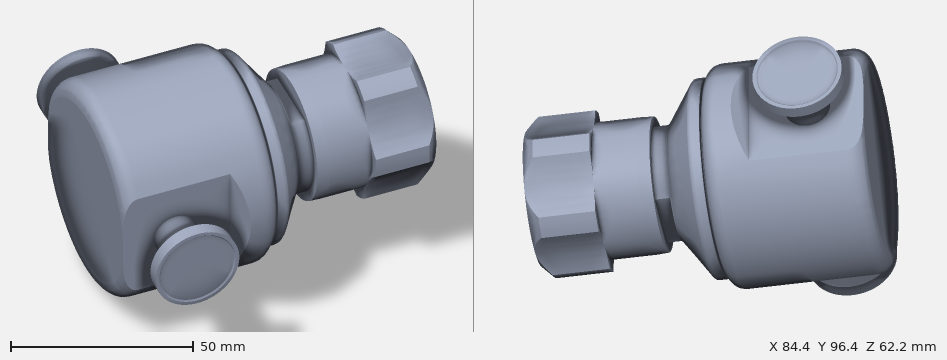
import cadquery as cq
import math


body_radius = 31.1
body_length = 45.1
body_fillet = 4.5
flat_distance = 26.5
flat_end = 31.9
flat_runout = 4.2

groove_radius = 25.3
groove_width = 0.5

cap_radius = 27.9
cap_start = body_length + groove_width
cap_rim = 3.1
cone_slope = math.radians(35)
cap_fillet = 1.35
neck_radius = 16.0
neck_flat_distance = 12.7
neck_flat_start = 57.0

collar_radius = 19.0
collar_start = 61.1
collar_taper_length = 3.6
collar_taper_depth = 0.2
nut_start = 77.1
nut_end = 96.4
nut_radius = 22.3
nut_chamfer = 3.4
nut_sides = 6
scallop_depth_radius = 18.9
scallop_edge_distance = 20.6

port_y = 15.6
port_reach = 42.2
port_tube_radius = 6.4
port_flange_radius = 12.4
port_rim = 3.8
port_cone_inner = 36.2
port_fillet = 1.2
recess_radius = 11.4
recess_floor_radius = 11.0
recess_depth = 0.4


def disc(radius, start, end):
    """Cylinder on the main axis between two Y positions."""
    return cq.Workplane("XZ", origin=(0, start, 0)).circle(radius).extrude(start - end)


def revolve_about_y(points):
    """Solid of revolution about the main axis from (radius, y) points."""
    return cq.Workplane("XY").polyline(points).close().revolve(360, (0, 0), (0, 1))


def mirrored(solid, plane):
    """The solid together with its mirror image."""
    return solid.union(solid.mirror(plane))


def make_body():
    body = disc(body_radius, 0, body_length).edges("%CIRCLE").fillet(body_fillet)
    flat_cut = (
        cq.Workplane("XY")
        .polyline([
            (flat_distance, 0),
            (flat_distance, flat_end),
            (body_radius, flat_end + flat_runout),
            (body_radius, 0),
        ])
        .close()
        .extrude(body_radius, both=True)
    )
    return body.cut(mirrored(flat_cut, "YZ"))


def make_cap():
    cone_start = cap_start + cap_rim
    cone_end = cone_start + (cap_radius - neck_radius) * math.tan(cone_slope)
    cap = revolve_about_y([
        (0, cap_start),
        (cap_radius, cap_start),
        (cap_radius, cone_start),
        (neck_radius, cone_end),
        (neck_radius, collar_start),
        (0, collar_start),
    ])
    for edge_y in (cone_start, cone_end):
        edge = cq.selectors.NearestToPointSelector((0, edge_y, 0))
        cap = cap.edges("%CIRCLE").edges(edge).fillet(cap_fillet)
    flat_length = collar_start - neck_flat_start
    flat_cut = cq.Workplane("XY").box(
        2 * cap_radius, flat_length, cap_radius, centered=(True, False, False)
    ).translate((0, neck_flat_start, neck_flat_distance))
    return cap.cut(mirrored(flat_cut, "XY"))


def make_collar():
    """Collar that narrows slightly towards the neck."""
    return revolve_about_y([
        (0, collar_start),
        (collar_radius - collar_taper_depth, collar_start),
        (collar_radius, collar_start + collar_taper_length),
        (collar_radius, nut_start),
        (0, nut_start),
    ])


def make_nut():
    nut = disc(nut_radius, nut_start, nut_end).faces(">Y").chamfer(nut_chamfer)
    half_width = math.sqrt(nut_radius**2 - scallop_edge_distance**2)
    sagitta = scallop_edge_distance - scallop_depth_radius
    scallop_radius = (half_width**2 + sagitta**2) / (2 * sagitta)
    scallop = disc(scallop_radius, nut_start, nut_end)
    scallop = scallop.translate((0, 0, scallop_depth_radius + scallop_radius))
    for side in range(nut_sides):
        nut = nut.cut(scallop.rotate((0, 0, 0), (0, 1, 0), side * 360 / nut_sides))
    return nut


def make_port():
    """Port on the +X side: tube, clamp flange and shallow dished recess."""
    rim_start = port_reach - port_rim
    port = (
        cq.Workplane("XY")
        .polyline([
            (0, 0),
            (0, port_tube_radius),
            (port_cone_inner, port_tube_radius),
            (rim_start, port_flange_radius),
            (port_reach, port_flange_radius),
            (port_reach, recess_radius),
            (port_reach - recess_depth, recess_floor_radius),
            (port_reach - recess_depth, 0),
        ])
        .close()
        .revolve(360, (0, 0), (1, 0))
    )
    tube_end = cq.selectors.NearestToPointSelector((port_cone_inner, 0, 0))
    port = port.edges("%CIRCLE").edges(tube_end).fillet(port_fillet)
    return port.translate((0, port_y, 0))


groove = disc(groove_radius, body_length, cap_start)

result = (
    make_body()
    .union(groove)
    .union(make_cap())
    .union(make_collar())
    .union(make_nut())
    .union(mirrored(make_port(), "YZ"))
)